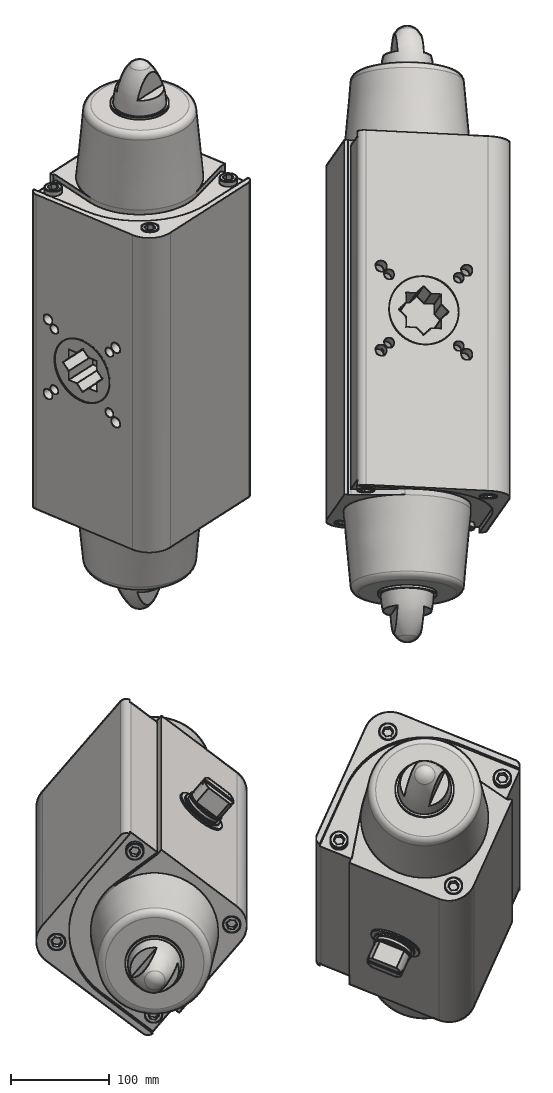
import cadquery as cq
import math


near_side = 74.5
far_side = 93.5
notch_side = 68.0
notch_start = 51.0
lip_width = 4.0
lip_height = 1.0
block_half_length = 187.0
large_corner_radius = 27.0
small_corner_radius = 8.0

relief_depth = 6.0
relief_outer_radius = 87.0
cap_base_radius = 65.0

cap_top_radius = 57.0
cap_top_height = 272.0
cap_edge_fillet = 8.0
collar_radius = 30.0
collar_height = 2.5
tip_base_radius = 27.0
tip_shoulder_radius = 24.5
tip_shoulder_height = 292.0
tip_nose_radius = 10.5
tip_nose_height = 319.5
tip_end_height = 324.0
tip_flat_half_width = 13.5

screw_near = 56.0
screw_far = 70.5
screw_head_diameter = 18.0
screw_edge_chamfer = 0.5
socket_across_flats = 10.0
socket_depth = 6.5

outer_hole_diameter = 11.5
outer_bolt_circle = 125.0
inner_hole_diameter = 10.5
inner_bolt_circle = 102.0
hole_depth_ratio = 1.5
drill_point_angle = 118

shaft_face_recess = 1.0
shaft_body_diameter = 72.0
shaft_body_end = 53.0
bearing_diameter = 53.0
bearing_end = near_side + 2.0
washer_diameter = 44.0
washer_end = bearing_end + 2.0
ring_diameter = 40.0
ring_start = washer_end + 4.0
ring_end = ring_start + 2.0
stem_diameter = 38.0
stem_end = 104.5
stem_flat_half_width = 13.5
slot_width = 5.0
slot_depth = 4.0
star_square_side = 36.0
star_depth = 39.0


def along_y(start):
    """Workplane normal to +Y at the given Y; its local axes are Z and X."""
    return cq.Workplane("ZX", origin=(0, start, 0))


def disc_on_y(diameter, start, end):
    return along_y(start).circle(diameter / 2).extrude(end - start)


def make_block():
    outline = [
        (-near_side, near_side),
        (notch_start, near_side),
        (notch_start, notch_side),
        (far_side, notch_side),
        (far_side, -far_side),
        (-notch_side, -far_side),
        (-notch_side, -notch_start),
        (lip_width - near_side, -notch_start),
        (lip_width - near_side, -notch_start - lip_height),
        (-near_side, -notch_start - lip_height),
    ]
    block = (
        cq.Workplane("XY").workplane(offset=-block_half_length)
        .polyline(outline).close().extrude(2 * block_half_length)
    )
    large_corners = [(-near_side, near_side), (far_side, -far_side)]
    small_corners = [(far_side, notch_side), (-notch_side, -far_side)]
    for corners, radius in ((large_corners, large_corner_radius), (small_corners, small_corner_radius)):
        for x, y in corners:
            block = block.edges(cq.selectors.NearestToPointSelector((x, y, 0))).fillet(radius)
    return block


def make_relief():
    """Space between the cap, two lines tangent to it and the outer arc, at the upper end."""
    corner_distance = math.hypot(notch_side, notch_start)
    corner_angle = math.atan2(-notch_start, -notch_side)
    tangent_angle = corner_angle + math.acos(cap_base_radius / corner_distance)
    tangent_x = cap_base_radius * math.cos(tangent_angle)
    tangent_y = cap_base_radius * math.sin(tangent_angle)
    cap_middle = cap_base_radius * math.sqrt(0.5)
    outer_middle = relief_outer_radius * math.sqrt(0.5)
    return (
        cq.Workplane("XY").workplane(offset=block_half_length - relief_depth)
        .moveTo(-notch_side, -notch_start)
        .lineTo(tangent_x, tangent_y)
        .threePointArc((cap_middle, -cap_middle), (-tangent_y, -tangent_x))
        .lineTo(notch_start, notch_side)
        .lineTo(relief_outer_radius, notch_side)
        .lineTo(relief_outer_radius, 0)
        .threePointArc((outer_middle, -outer_middle), (0, -relief_outer_radius))
        .lineTo(-notch_side, -relief_outer_radius)
        .close().extrude(relief_depth)
    )


def make_cap():
    cap = (
        cq.Workplane("XY").workplane(offset=block_half_length - relief_depth)
        .circle(cap_base_radius).extrude(relief_depth)
    )
    cone = (
        cq.Workplane("XZ")
        .moveTo(0, block_half_length)
        .lineTo(cap_base_radius, block_half_length)
        .lineTo(cap_top_radius, cap_top_height)
        .lineTo(0, cap_top_height)
        .close().revolve(360, (0, 0), (0, 1))
        .faces(">Z").edges().fillet(cap_edge_fillet)
    )
    return cap.union(cone)


def make_tip():
    nose_rise = tip_end_height - tip_nose_height
    nose_sphere_radius = (tip_nose_radius**2 + nose_rise**2) / (2 * nose_rise)
    half_angle = math.asin(tip_nose_radius / nose_sphere_radius) / 2
    nose_middle = (
        nose_sphere_radius * math.sin(half_angle),
        tip_end_height - nose_sphere_radius * (1 - math.cos(half_angle)),
    )
    collar_top = cap_top_height + collar_height
    tip = (
        cq.Workplane("XZ")
        .moveTo(0, cap_top_height)
        .lineTo(collar_radius, cap_top_height)
        .lineTo(collar_radius, collar_top)
        .lineTo(tip_base_radius, collar_top)
        .threePointArc((tip_shoulder_radius, tip_shoulder_height), (tip_nose_radius, tip_nose_height))
        .threePointArc(nose_middle, (0, tip_end_height))
        .close().revolve(360, (0, 0), (0, 1))
    )
    flat_height = tip_end_height - tip_shoulder_height
    flat_depth = tip_base_radius
    for side in (-1, 1):
        flat_cut = cq.Workplane("XY").box(flat_depth, 2 * tip_base_radius, flat_height).translate(
            (side * (tip_flat_half_width + flat_depth / 2), 0, tip_shoulder_height + flat_height / 2)
        )
        tip = tip.cut(flat_cut)
    return tip


def make_screw_head():
    """Socket head, flush with the end face and standing on the relief floor."""
    return (
        cq.Workplane("XY").workplane(offset=block_half_length - relief_depth)
        .circle(screw_head_diameter / 2).extrude(relief_depth)
        .faces(">Z").edges().chamfer(screw_edge_chamfer)
    )


def make_socket():
    socket_across_corners = socket_across_flats / math.cos(math.pi / 6)
    return (
        cq.Workplane("XY").workplane(offset=block_half_length - socket_depth)
        .transformed(rotate=(0, 0, 30))
        .polygon(6, socket_across_corners).extrude(socket_depth)
    )


def both_ends(upper):
    return upper, upper.mirror("XY")


def make_mounting_hole(diameter, bolt_circle, angle):
    depth = hole_depth_ratio * diameter
    point = diameter / 2 / math.tan(math.radians(drill_point_angle / 2))
    radius = bolt_circle / 2
    hole = (
        cq.Workplane("XY")
        .lineTo(diameter / 2, 0)
        .lineTo(diameter / 2, depth)
        .lineTo(0, depth + point)
        .close().revolve(360, (0, 0), (0, 1))
    )
    return hole.translate((radius * math.cos(angle), -far_side, radius * math.sin(angle)))


def make_housing():
    housing = make_block()
    for relief in both_ends(make_relief()):
        housing = housing.cut(relief)
    for cap in both_ends(make_cap().union(make_tip())):
        housing = housing.union(cap)

    counterbore = (
        cq.Workplane("XY").workplane(offset=block_half_length - relief_depth)
        .circle(screw_head_diameter / 2).extrude(relief_depth)
    )
    for x in (-screw_near, screw_far):
        for y in (screw_near, -screw_far):
            for space in both_ends(counterbore.translate((x, y, 0))):
                housing = housing.cut(space)
            for head in both_ends(make_screw_head().translate((x, y, 0))):
                housing = housing.union(head)
            for socket in both_ends(make_socket().translate((x, y, 0))):
                housing = housing.cut(socket)

    for quarter in range(4):
        angle = math.pi / 4 + quarter * math.pi / 2
        housing = housing.cut(make_mounting_hole(outer_hole_diameter, outer_bolt_circle, angle))
        housing = housing.cut(make_mounting_hole(inner_hole_diameter, inner_bolt_circle, angle))

    housing = housing.cut(disc_on_y(shaft_body_diameter, -far_side, shaft_body_end))
    return housing.cut(disc_on_y(bearing_diameter, shaft_body_end, near_side))


def make_shaft():
    shaft_face = shaft_face_recess - far_side
    stem_length = stem_end - washer_end
    stem = disc_on_y(stem_diameter, washer_end, stem_end).intersect(
        cq.Workplane("XY").box(stem_diameter, stem_length, 2 * stem_flat_half_width)
        .translate((0, washer_end + stem_length / 2, 0))
    )
    shaft = (
        disc_on_y(shaft_body_diameter, shaft_face, shaft_body_end)
        .union(disc_on_y(bearing_diameter, shaft_body_end, bearing_end))
        .union(disc_on_y(washer_diameter, bearing_end, washer_end))
        .union(disc_on_y(stem_diameter, washer_end, ring_start))
        .union(disc_on_y(ring_diameter, ring_start, ring_end))
        .union(stem)
    )
    slot = along_y(stem_end - slot_depth).rect(slot_width, stem_diameter).extrude(slot_depth)
    shaft = shaft.cut(slot)
    for turn in (0, 45):
        square = (
            along_y(shaft_face).transformed(rotate=(0, 0, turn))
            .rect(star_square_side, star_square_side).extrude(star_depth)
        )
        shaft = shaft.cut(square)
    return shaft


housing = make_housing()
shaft = make_shaft()

result = cq.Compound.makeCompound([*housing.solids().vals(), *shaft.solids().vals()])